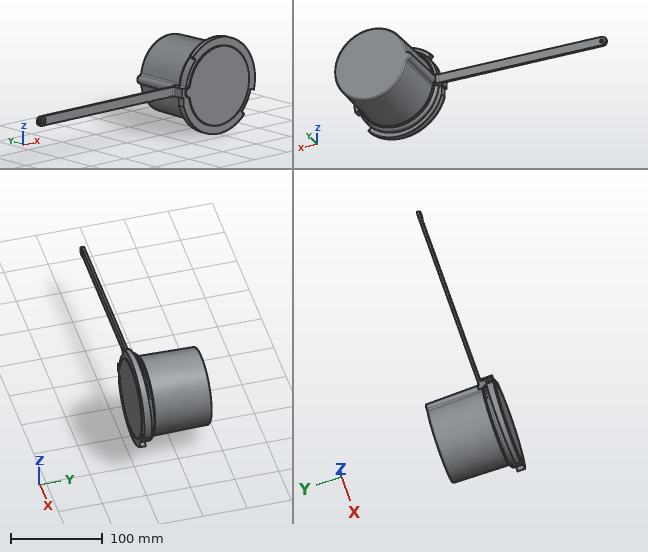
import cadquery as cq
import math


overall_width = 309.5
length = 80.5

barrel_radius = 45.0
barrel_draft = 1.1
rim_fillet = 1.5
ridge_radius = 6.2
ridge_tip = 50.0
ridge_blend = 1.5

face_height = 1.0
face_chamfer = 0.5
flange_radius = 49.0
flange_back = 14.0
flange_corner = 2.8
flange_cone = 2.0

lug_radius = 54.0
lug_span = 149.0
lug_thin_angle = 134.5
lug_thin_back = 6.8
lug_thick_back = 9.3
lug_flat = 52.0

strap_width = 10.5
strap_thickness = 2.8
strap_front = 15.0
strap_back = strap_front + strap_thickness
strap_fillet = 2.0
anchor_face = 54.5
anchor_blend = 2.2
eye_radius = strap_width / 2
eye_center = lug_radius - overall_width + eye_radius
eye_hole_radius = 2.0
eye_boss_height = 1.0
eye_front = strap_front - eye_boss_height
eye_chamfer = 0.77


def at_depth(y):
    """Workplane at depth y, facing +Y, with local x along -X and local y along Z."""
    return cq.Workplane("XZ", origin=(0, y, 0)).transformed(rotate=(0, 180, 0))


def disc(radius, start, end, x=0):
    """Cylinder along Y between two depths, centred on the given X."""
    return at_depth(start).center(-x, 0).circle(radius).extrude(end - start)


def ridged_section(y):
    """Circle with a rounded ridge towards -X, joined by tangent concave blends."""
    ridge_x = ridge_tip - ridge_radius
    to_barrel = barrel_radius + ridge_blend
    to_ridge = ridge_radius + ridge_blend
    blend_x = (to_barrel**2 - to_ridge**2 + ridge_x**2) / (2 * ridge_x)
    blend_z = math.sqrt(to_barrel**2 - blend_x**2)

    barrel_share = barrel_radius / to_barrel
    ridge_share = ridge_radius / to_ridge
    barrel_end = (blend_x * barrel_share, blend_z * barrel_share)
    ridge_end = (ridge_x + (blend_x - ridge_x) * ridge_share, blend_z * ridge_share)
    chord_x = (barrel_end[0] + ridge_end[0]) / 2 - blend_x
    chord_z = (barrel_end[1] + ridge_end[1]) / 2 - blend_z
    reach = ridge_blend / math.hypot(chord_x, chord_z)
    blend_mid = (blend_x + chord_x * reach, blend_z + chord_z * reach)

    def mirrored(point):
        return (point[0], -point[1])

    return (
        at_depth(y)
        .moveTo(*barrel_end)
        .threePointArc((-barrel_radius, 0), mirrored(barrel_end))
        .threePointArc(mirrored(blend_mid), mirrored(ridge_end))
        .threePointArc((ridge_tip, 0), ridge_end)
        .threePointArc(blend_mid, barrel_end)
        .close()
    )


def make_barrel():
    barrel = ridged_section(face_height).extrude(length - face_height, taper=barrel_draft)
    barrel = barrel.faces(">Y").edges().fillet(rim_fillet)
    face = ridged_section(face_height).extrude(-face_height)
    face = face.faces("<Y").edges().chamfer(face_chamfer)
    return barrel.union(face)


def make_flange():
    """Flange with a rounded back corner and a short cone up to the barrel."""
    shoulder = flange_radius - flange_corner
    return (
        cq.Workplane("XY")
        .moveTo(0, face_height)
        .lineTo(flange_radius, face_height)
        .lineTo(flange_radius, flange_back - flange_corner)
        .radiusArc((shoulder, flange_back), -flange_corner)
        .lineTo(barrel_radius, flange_back + flange_cone)
        .lineTo(0, flange_back + flange_cone)
        .close()
        .revolve(360, (0, 0, 0), (0, 1, 0))
    )


def make_lug(thin_angle):
    """Sector that thickens clockwise from its thin end, with a sloping plane as its back."""
    half_span = math.radians(lug_span / 2)
    half_run = lug_radius * math.sin(half_span)
    mid_back = (lug_thin_back + lug_thick_back) / 2
    end_rise = (lug_thick_back - mid_back) * lug_radius / half_run
    corner = (lug_radius * math.cos(half_span), half_run)

    sector = (
        at_depth(face_height)
        .moveTo(0, 0)
        .lineTo(*corner)
        .threePointArc((lug_radius, 0), (corner[0], -corner[1]))
        .close()
        .extrude(lug_thick_back - face_height)
    )
    wedge = (
        cq.Workplane("YZ")
        .polyline(
            [
                (face_height, -lug_radius),
                (mid_back - end_rise, -lug_radius),
                (mid_back + end_rise, lug_radius),
                (face_height, lug_radius),
            ]
        )
        .close()
        .extrude(lug_radius, both=True)
    )
    turn = thin_angle - lug_span / 2 - 180
    return sector.intersect(wedge).rotate((0, 0, 0), (0, -1, 0), turn)


def make_lugs():
    """Two opposite lugs; the lower one stops at the strap in a flat side."""
    upper = make_lug(lug_thin_angle)
    lower = make_lug(lug_thin_angle + 180)
    below_strap = (
        cq.Workplane("XY")
        .box(lug_flat + lug_radius, length, lug_radius, centered=False)
        .translate((-lug_flat, 0, -lug_radius))
    )
    return upper.union(lower.intersect(below_strap))


def make_strap():
    """Strap and anchor block as one profile with a fillet on each side of the strap."""
    profile = (
        cq.Workplane("XY")
        .moveTo(eye_center, strap_front)
        .lineTo(-anchor_face - strap_fillet, strap_front)
        .radiusArc((-anchor_face, strap_front - strap_fillet), strap_fillet)
        .lineTo(-anchor_face, face_height)
        .lineTo(-barrel_radius, face_height)
        .lineTo(-barrel_radius, strap_back + strap_fillet)
        .lineTo(-ridge_tip, strap_back + strap_fillet)
        .radiusArc((-ridge_tip - strap_fillet, strap_back), strap_fillet)
        .lineTo(eye_center, strap_back)
        .close()
    )
    return profile.extrude(strap_width / 2, both=True)


def make_anchor_blend():
    """Concave fillet between the upper side of the anchor block and the flange rim."""
    base = strap_width / 2
    center_z = base + anchor_blend
    to_flange = flange_radius + anchor_blend
    center_x = math.sqrt(to_flange**2 - center_z**2)
    rim_share = flange_radius / to_flange
    return (
        at_depth(face_height)
        .moveTo(barrel_radius, base)
        .lineTo(center_x, base)
        .radiusArc((center_x * rim_share, center_z * rim_share), anchor_blend)
        .close()
        .extrude(flange_back - flange_corner - face_height)
    )


def make_eye():
    """Round strap end with a raised, chamfered front."""
    eye = disc(eye_radius, eye_front, strap_back, eye_center)
    return eye.faces("<Y").chamfer(eye_chamfer)


result = make_barrel()
for feature in (make_flange(), make_lugs(), make_strap(), make_anchor_blend(), make_eye()):
    result = result.union(feature)
result = result.cut(disc(eye_hole_radius, eye_front, strap_back, eye_center))